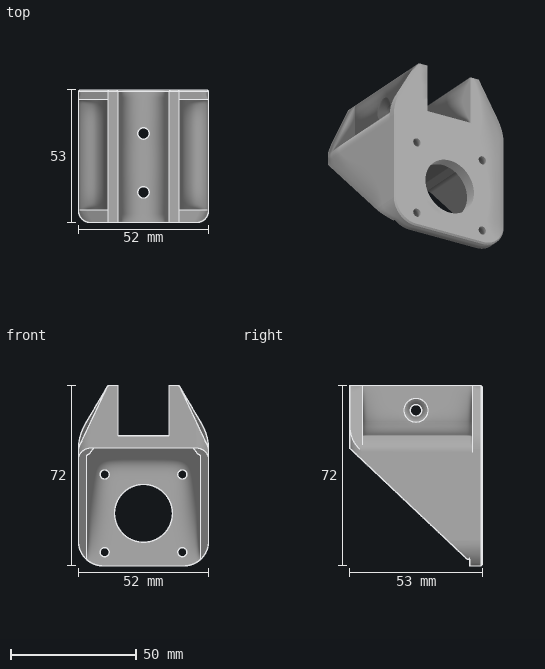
import cadquery as cq
import math

width = 52.0
depth = 53.0
height = 72.0
half_width = width / 2

slot_half_width = 10.15
channel_wall = 4.0
wall_outer_x = slot_half_width + channel_wall
floor_z = 52.0
underside_z = 47.0

cove_radius = 5.3
shoulder_radius = half_width - wall_outer_x - cove_radius

front_flange = 5.1
front_knee_x = 25.3
back_flange = 3.9
flange_blend_radius = 20.0
front_corner_radius = 5.0
bottom_corner_radius = 10.0
back_chamfer = 0.65

plate_thickness = 5.1
side_wall = 3.25
pocket_half_width = half_width - side_wall
plate_front_y = depth - plate_thickness
slope_end_y = 49.75
pocket_round = 1.15
pocket_round_top_z = 44.65
pocket_bevel_half_width = 19.9

bore_diameter = 23.0
bore_z = 21.0
plate_hole_diameter = 3.5
plate_hole_offset = 15.5
screw_diameter = 4.5
floor_hole_spacing = 23.5
floor_hole_mid_y = 23.8
wall_hole_z = 62.1
wall_hole_y = depth / 2
countersink_diameter = 9.5
countersink_depth = (countersink_diameter - screw_diameter) / 2

arc_mid = math.sqrt(0.5)


def along_y(profile, start, end):
    """Extrude an XZ profile from y = start to y = end."""
    return profile.extrude(start - end).translate((0, start, 0))


def xz():
    return cq.Workplane("XZ")


def ogee_profile():
    """Right half of the section: channel wall, cove and rounded shoulder."""
    inflection_x = wall_outer_x + cove_radius
    cove_z = floor_z + cove_radius
    shoulder_z = floor_z - shoulder_radius
    return (
        xz().moveTo(0, 0).lineTo(0, height).lineTo(wall_outer_x, height).lineTo(wall_outer_x, cove_z)
        .threePointArc(
            (inflection_x - cove_radius * arc_mid, cove_z - cove_radius * arc_mid),
            (inflection_x, floor_z),
        )
        .threePointArc(
            (inflection_x + shoulder_radius * arc_mid, shoulder_z + shoulder_radius * arc_mid),
            (half_width, shoulder_z),
        )
        .lineTo(half_width, 0).close()
    )


def flange_profile(knee_x, knee_z):
    """Symmetric flange outline, sloping from the channel top to a knee on each side."""
    return xz().polyline([
        (-knee_x, 0), (knee_x, 0), (knee_x, knee_z), (wall_outer_x, height),
        (-wall_outer_x, height), (-knee_x, knee_z),
    ]).close()


def outer_body():
    half = along_y(ogee_profile(), 0, depth)
    shoulder_run = front_knee_x - (half_width - shoulder_radius)
    shoulder_rise = math.sqrt(shoulder_radius**2 - shoulder_run**2)
    front_knee_z = floor_z - shoulder_radius + shoulder_rise
    front = along_y(flange_profile(front_knee_x, front_knee_z), 0, front_flange)
    back = along_y(flange_profile(half_width, floor_z), depth - back_flange, depth)
    knee_margin = 0.7
    knees = cq.selectors.BoxSelector(
        (-width, 0, floor_z - knee_margin), (width, 2 * depth, floor_z + knee_margin))
    back = back.edges("|Y").edges(knees).fillet(flange_blend_radius)
    solid = half.union(half.mirror("YZ")).union(front).union(back)

    bottom_rounding = (
        cq.Workplane("XY").box(width, depth, 2 * height, centered=(True, False, False))
        .edges("|Y and <Z").fillet(bottom_corner_radius)
    )
    front_rounding = (
        cq.Workplane("XY").box(width, depth, height, centered=(True, False, False))
        .edges("|Z and <Y").fillet(front_corner_radius)
    )
    return solid.intersect(bottom_rounding).intersect(front_rounding)


def slot():
    return cq.Workplane("XY").box(
        2 * slot_half_width, depth, height, centered=(True, False, False)
    ).translate((0, 0, floor_z))


def slope_cut():
    """Wedge in front of the plate, below the slope from the channel underside."""
    slope_z = underside_z * (1 - plate_front_y / slope_end_y)
    return (
        cq.Workplane("YZ")
        .polyline([(0, underside_z), (plate_front_y, slope_z), (plate_front_y, 0), (0, 0)]).close()
        .extrude(half_width, both=True)
    )


def pocket():
    """Space between the side walls, with a rounded and bevelled shoulder in each top corner."""
    round_x = pocket_half_width - pocket_round
    round_z = pocket_round_top_z - pocket_round
    half = (
        xz().moveTo(0, 0).lineTo(pocket_half_width, 0).lineTo(pocket_half_width, round_z)
        .threePointArc(
            (round_x + pocket_round * arc_mid, round_z + pocket_round * arc_mid),
            (round_x, pocket_round_top_z),
        )
        .lineTo(pocket_bevel_half_width, underside_z).lineTo(0, underside_z).close()
    )
    half = along_y(half, 0, plate_front_y)
    return half.union(half.mirror("YZ"))


def plate_holes():
    bore = xz().center(0, bore_z).circle(bore_diameter / 2)
    corners = (
        xz().center(0, bore_z).rect(2 * plate_hole_offset, 2 * plate_hole_offset, forConstruction=True)
        .vertices().circle(plate_hole_diameter / 2)
    )
    return along_y(bore, 0, depth).union(along_y(corners, plate_front_y, depth))


def floor_holes():
    return (
        cq.Workplane("XY").workplane(offset=underside_z).center(0, floor_hole_mid_y)
        .rarray(0.7, floor_hole_spacing, 1, 2).circle(screw_diameter / 2).extrude(floor_z - underside_z)
    )


def wall_holes():
    """Cross hole through both channel walls, countersunk from the outside."""
    side = cq.Workplane("YZ").center(wall_hole_y, wall_hole_z)
    holes = side.circle(screw_diameter / 2).extrude(wall_outer_x, both=True)
    cone = cq.Workplane(cq.Solid.makeCone(
        countersink_diameter / 2, screw_diameter / 2, countersink_depth,
        cq.Vector(wall_outer_x, wall_hole_y, wall_hole_z), cq.Vector(-1, 0, 0),
    ))
    return holes.union(cone).union(cone.mirror("YZ"))


body = outer_body().cut(slot())
body = body.faces(">Y").edges().chamfer(back_chamfer)
body = body.cut(slope_cut()).cut(pocket())
result = body.cut(plate_holes()).cut(floor_holes()).cut(wall_holes())